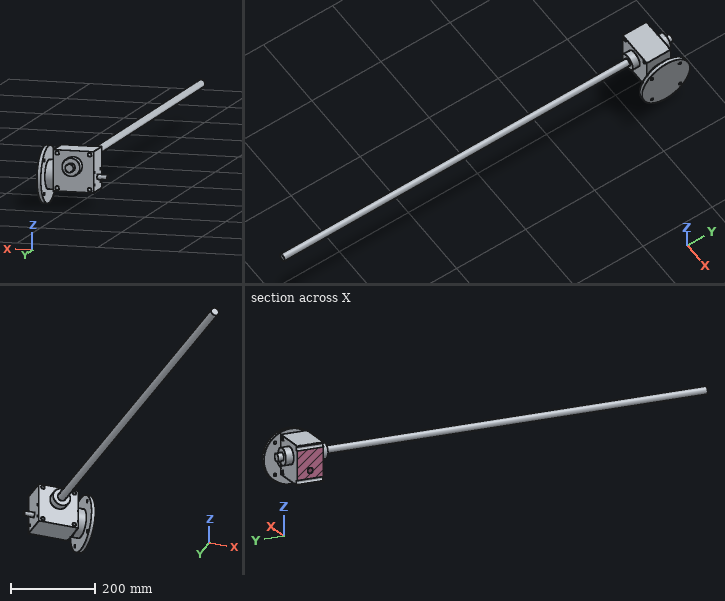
import cadquery as cq

HOUSING_SIDE = 100.0
HOUSING_WIDTH = 70.0
CORNER_HOLE_DIAMETER = 9.0
CORNER_HOLE_INSET_X = 10.0
CORNER_HOLE_INSET_Z = 7.8
BOSS_DIAMETER = 44.0
BOSS_LENGTH = 20.0
TAPPED_HOLE_DIAMETER = 4.2
TAPPED_HOLE_DEPTH = 10.0
TAPPED_HOLE_SPACING_Y = 51.0
TAPPED_HOLE_SPACING_Z = 30.0

ROD_DIAMETER = 20.0
ROD_LENGTH = 1125
ROD_END_Y = 70.0
ROD_Z = 14.0

SHAFT_DIAMETER = 12.0
SHAFT_PROJECTION = 25.0
SHAFT_DEPTH = 20.0
CENTRE_HOLE_DIAMETER = 4.2
CENTRE_HOLE_DEPTH = 10.0
SHAFT_Z = -17.0

COLLAR_DIAMETER = 71.0
COLLAR_LENGTH = 20.0
FLANGE_DIAMETER = 140.0
FLANGE_THICKNESS = 10.0
FLANGE_HOLE_DIAMETER = 6.6
FLANGE_HOLE_CIRCLE = 115.0
FLANGE_HOLE_COUNT = 4
FLANGE_FIRST_HOLE_ANGLE = 45


def cylinder_x(diameter, start_x, length, y=0, z=0):
    """Cylinder along +X from start_x."""
    start = cq.Workplane("YZ", origin=(start_x, y, z))
    return start.circle(diameter / 2).extrude(length)


def cylinder_y(diameter, end_y, length, x=0, z=0):
    """Cylinder along -Y from end_y."""
    start = cq.Workplane("XZ", origin=(x, end_y, z))
    return start.circle(diameter / 2).extrude(length)


def make_rod():
    return cylinder_y(ROD_DIAMETER, ROD_END_Y, ROD_LENGTH, z=ROD_Z)


def make_input_shaft():
    """Plain shaft with a blind centre hole in its free end."""
    start_x = -HOUSING_SIDE / 2 - SHAFT_PROJECTION
    shaft = cylinder_x(SHAFT_DIAMETER, start_x, SHAFT_PROJECTION + SHAFT_DEPTH, z=SHAFT_Z)
    centre_hole = cylinder_x(CENTRE_HOLE_DIAMETER, start_x, CENTRE_HOLE_DEPTH, z=SHAFT_Z)
    return shaft.cut(centre_hole)


def cut_corner_holes(housing):
    """Through holes along Y in the four corners."""
    hole_x = HOUSING_SIDE / 2 - CORNER_HOLE_INSET_X
    hole_z = HOUSING_SIDE / 2 - CORNER_HOLE_INSET_Z
    for x in (-hole_x, hole_x):
        for z in (-hole_z, hole_z):
            hole = cylinder_y(CORNER_HOLE_DIAMETER, HOUSING_WIDTH / 2, HOUSING_WIDTH, x, z)
            housing = housing.cut(hole)
    return housing


def cut_tapped_holes(housing):
    """Four blind holes around the input shaft in the -X face."""
    for y in (-TAPPED_HOLE_SPACING_Y / 2, TAPPED_HOLE_SPACING_Y / 2):
        for offset_z in (-TAPPED_HOLE_SPACING_Z / 2, TAPPED_HOLE_SPACING_Z / 2):
            hole = cylinder_x(
                TAPPED_HOLE_DIAMETER, -HOUSING_SIDE / 2, TAPPED_HOLE_DEPTH, y, SHAFT_Z + offset_z
            )
            housing = housing.cut(hole)
    return housing


def make_housing():
    """Box with a boss on the -Y and +Y sides, with bores for the rod and the input shaft."""
    box = cq.Workplane("XY").box(HOUSING_SIDE, HOUSING_WIDTH, HOUSING_SIDE)
    boss_span = HOUSING_WIDTH + 2 * BOSS_LENGTH
    bosses = cylinder_y(BOSS_DIAMETER, boss_span / 2, boss_span, z=ROD_Z)
    rod_bore = cylinder_y(ROD_DIAMETER, boss_span / 2, boss_span, z=ROD_Z)
    shaft_bore = cylinder_x(SHAFT_DIAMETER, -HOUSING_SIDE / 2, SHAFT_DEPTH, z=SHAFT_Z)
    housing = box.union(bosses).cut(rod_bore).cut(shaft_bore)
    return cut_tapped_holes(cut_corner_holes(housing))


def make_flange():
    """Collar against the housing, then a round plate with bolt holes."""
    collar = cylinder_x(COLLAR_DIAMETER, HOUSING_SIDE / 2, COLLAR_LENGTH, z=SHAFT_Z)
    plate_x = HOUSING_SIDE / 2 + COLLAR_LENGTH
    plate = cylinder_x(FLANGE_DIAMETER, plate_x, FLANGE_THICKNESS, z=SHAFT_Z)
    bolt_holes = (
        cq.Workplane("YZ", origin=(plate_x, 0, SHAFT_Z))
        .polarArray(FLANGE_HOLE_CIRCLE / 2, FLANGE_FIRST_HOLE_ANGLE, 360, FLANGE_HOLE_COUNT)
        .circle(FLANGE_HOLE_DIAMETER / 2)
        .extrude(FLANGE_THICKNESS)
    )
    return collar.union(plate.cut(bolt_holes))


rod = make_rod()
input_shaft = make_input_shaft()
housing = make_housing()
flange = make_flange()

result = cq.Compound.makeCompound([housing.val(), rod.val(), input_shaft.val(), flange.val()])